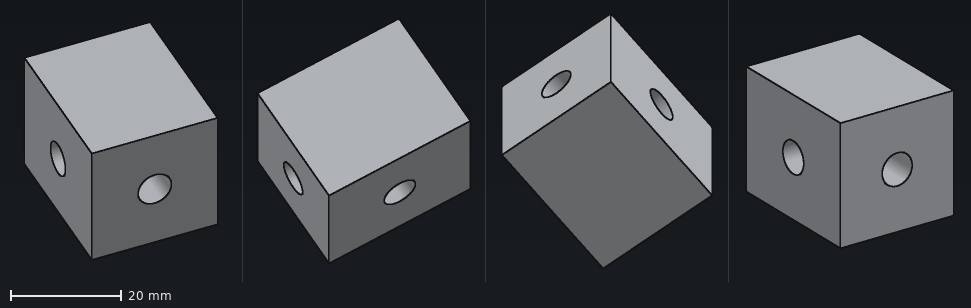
import cadquery as cq

length = 30.0
side = 25.0

hole_diameter = 6.6

block = cq.Workplane("XY").box(length, side, side)

result = (
    block
    .faces("<Y").workplane(centerOption="CenterOfBoundBox").hole(hole_diameter)
    .faces("<X").workplane(centerOption="CenterOfBoundBox").hole(hole_diameter)
)